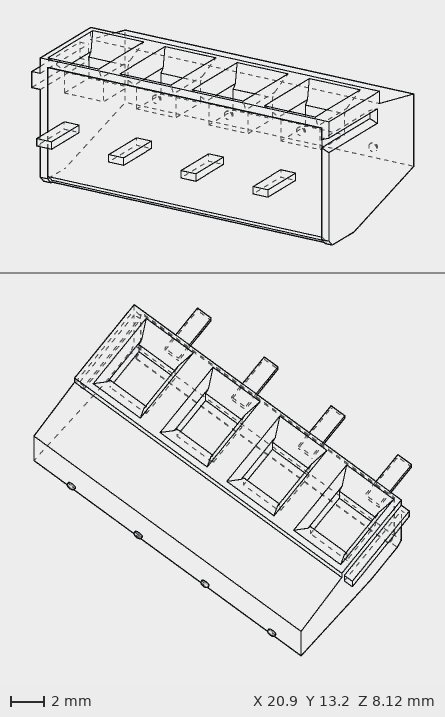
import cadquery as cq

pole_count = 4
total_length = 20.93
body_length = 20.32
pitch = body_length / pole_count
first_pole_x = 2.18
pole_positions = [first_pole_x + pole * pitch for pole in range(pole_count)]

body_depth = 9.9
body_height = 8.12
step_y = 5.88
step_bottom_z = 7.33
back_top_z = 6.6
back_bottom_z = 1.9
flat_bottom_end_y = 2.93
front_chamfer = 0.4

frame_width = 0.52
recess_depth = 0.06
recess_chamfer_run = 0.45
recess_chamfer_rise = 0.13

rail_length = 5.63
rail_width = total_length - body_length
rail_height = 1.05
rail_center_z = 6.6
groove_mouth = 0.95
groove_floor = 0.52

mouth_width = 3.58
mouth_limits_y = (0.25, 5.48)
side_taper_depth = 0.98
shaft_width = 2.76
shaft_limits_y = (1.5, 4.35)
end_taper_depth = 1.25
entry_floor_z = 5.5

pin_length = 3.15
pin_width = 1.05
pin_thickness = 0.48
pin_center_z = 4.05

bump_diameter = 0.55
bump_height = 0.2
bump_edge_radius = 0.13
bump_center_z = 2.53


def extrude_along_x(points, start_x, length):
    """Extrude a closed (Y, Z) outline towards +X."""
    return cq.Workplane("YZ", origin=(start_x, 0, 0)).polyline(points).close().extrude(length)


def make_housing():
    outline = [
        (front_chamfer, 0),
        (flat_bottom_end_y, 0),
        (body_depth, back_bottom_z),
        (body_depth, back_top_z),
        (step_y, step_bottom_z),
        (step_y, body_height),
        (0, body_height),
        (0, front_chamfer),
    ]
    return extrude_along_x(outline, 0, body_length)


def make_front_recess():
    """Cutter that leaves a frame at the top and both ends of the pin face."""
    recess_top_z = body_height - frame_width
    chamfer_back_y = recess_depth + recess_chamfer_run
    outline = [
        (0, 0),
        (chamfer_back_y, 0),
        (chamfer_back_y, recess_chamfer_rise),
        (recess_depth, recess_chamfer_rise + front_chamfer),
        (recess_depth, recess_top_z),
        (0, recess_top_z),
    ]
    return extrude_along_x(outline, frame_width, body_length - 2 * frame_width)


def make_rail():
    rail = cq.Workplane("XY").box(rail_width, rail_length, rail_height, centered=(False, False, True))
    return rail.translate((-rail_width, 0, rail_center_z))


def make_groove():
    """Cutter narrowing towards its floor, as long as the rail."""
    floor_x = body_length - frame_width
    outline = [
        (body_length, rail_center_z - groove_mouth / 2),
        (body_length, rail_center_z + groove_mouth / 2),
        (floor_x, rail_center_z + groove_floor / 2),
        (floor_x, rail_center_z - groove_floor / 2),
    ]
    return cq.Workplane("XZ").polyline(outline).close().extrude(-rail_length)


def entry_outline(mouth, shaft, taper):
    """Corners of a tapered entry, given the (low, high) limits of mouth and shaft."""
    taper_bottom_z = body_height - taper
    return [
        (mouth[0], body_height),
        (shaft[0], taper_bottom_z),
        (shaft[0], entry_floor_z),
        (shaft[1], entry_floor_z),
        (shaft[1], taper_bottom_z),
        (mouth[1], body_height),
    ]


def make_wire_entry(x):
    """Cutter where the prism sloping in X meets the prism sloping in Y."""
    half_mouth = mouth_width / 2
    half_shaft = shaft_width / 2
    across = entry_outline((x - half_mouth, x + half_mouth), (x - half_shaft, x + half_shaft), side_taper_depth)
    along = entry_outline(mouth_limits_y, shaft_limits_y, end_taper_depth)
    across_prism = cq.Workplane("XZ").polyline(across).close().extrude(-body_depth)
    return across_prism.intersect(extrude_along_x(along, x - half_mouth, mouth_width))


def make_pin(x):
    """Pin rooted in the recessed pin face."""
    return (
        cq.Workplane("XZ", origin=(x, recess_depth, pin_center_z))
        .rect(pin_width, pin_thickness)
        .extrude(pin_length + recess_depth)
    )


def make_bump(x):
    return (
        cq.Workplane("XZ", origin=(x, body_depth, bump_center_z))
        .circle(bump_diameter / 2)
        .extrude(-bump_height)
        .faces(">Y")
        .edges()
        .fillet(bump_edge_radius)
    )


result = make_housing().cut(make_front_recess()).union(make_rail()).cut(make_groove())
for pole_x in pole_positions:
    result = result.cut(make_wire_entry(pole_x))
    result = result.union(make_pin(pole_x)).union(make_bump(pole_x))